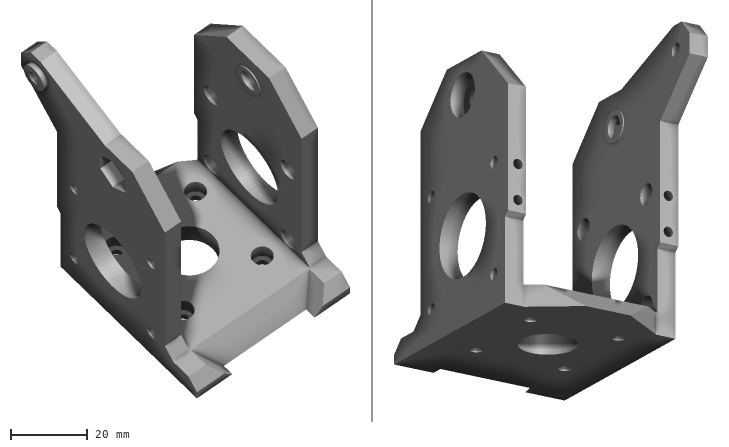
import cadquery as cq
import math


inner_gap = 40.9
plate_thickness = 5.6
plate_half_width = 21.0
plate_top = 73.45
corner_cut = 13.1
edge_pad = 1.4
pad_bottom = 25.2
inner_y = inner_gap / 2
outer_y = inner_y + plate_thickness
pad_x = plate_half_width + edge_pad

base_thickness = 6.15
base_setback = 0.3
base_half_width = inner_y - base_setback
gusset = 3.4
base_flat_end = plate_half_width + gusset
base_end = base_flat_end + base_thickness
nose_x = 29.9
nose_half_width = 6.8
foot_end = 33.95
foot_bevel = 3.4

arm_end = 37.0
arm_top = 83.0
arm_low_corner = 72.95
arm_high_corner = 78.7
arm_root_z = 58.8
arm_top_start = 33.0
arm_top_end = 29.05
arm_root_x = 3.15
pivot_x = -30.1
pivot_z = 76.0
pivot_boss_diameter = 8.0
pivot_boss_height = 1.5
pivot_hole_diameter = 3.9

bolt_hole_diameter = 3.3
counterbore_diameter = 6.0
counterbore_floor = 2.0
plate_bore_diameter = 23.0
plate_bore_z = 25.1
plate_bolt_offset = 15.5
base_bore_diameter = 15.7
base_bolt_offset = 13.45

axle_z = 64.1
axle_hole_diameter = 6.0
axle_ring_diameter = 9.0
axle_ring_height = 0.3
nut_flats = 10.1
axle_recess_diameter = 12.0
axle_recess_depth = 4.0

edge_hole_diameter = 2.8
edge_hole_depth = 5.0
edge_hole_heights = (28.55, 38.5)
edge_hole_setback = 2.5
edge_hole_y = inner_y + edge_hole_setback


def rod(x, z, diameter, y_start, y_end):
    """Cylinder along Y between two Y positions."""
    plane = cq.Workplane("XZ", origin=(x, y_start, z))
    return plane.circle(diameter / 2).extrude(y_start - y_end)


def plate(head_points, y_start):
    """Side plate: the shared lower outline closed by the given head outline."""
    lower_points = [
        (-pad_x, pad_bottom),
        (-plate_half_width, pad_bottom - edge_pad),
        (-plate_half_width, 0),
        (base_flat_end, 0),
        (base_flat_end, base_thickness),
        (plate_half_width, base_thickness + gusset),
        (plate_half_width, plate_top - corner_cut),
        (plate_half_width - corner_cut, plate_top),
    ]
    plane = cq.Workplane("XZ", origin=(0, y_start, 0))
    return plane.polyline(lower_points + head_points).close().extrude(-plate_thickness)


def foot(side):
    """Foot under one plate: bevelled toe and an inner flank falling at 45 degrees."""
    profile = [
        (0, 0),
        (foot_end, 0),
        (foot_end, base_thickness - foot_bevel),
        (foot_end - foot_bevel, base_thickness),
        (0, base_thickness),
    ]
    along = cq.Workplane("XZ", origin=(0, -outer_y, 0)).polyline(profile).close().extrude(-2 * outer_y)
    section = [
        (side * outer_y, 0),
        (side * (base_half_width - base_thickness), 0),
        (side * base_half_width, base_thickness),
        (side * outer_y, base_thickness),
    ]
    across = cq.Workplane("YZ").polyline(section).close().extrude(foot_end)
    return along.intersect(across)


def base():
    """Base plate with a tapered nose at -X; both ends slope at 45 degrees."""
    plan = [
        (base_end, -base_half_width),
        (base_end, base_half_width),
        (-plate_half_width, base_half_width),
        (-nose_x, nose_half_width),
        (-nose_x, -nose_half_width),
        (-plate_half_width, -base_half_width),
    ]
    slab = cq.Workplane("XY").polyline(plan).close().extrude(base_thickness)
    side_profile = [
        (-nose_x, 0),
        (base_end, 0),
        (base_flat_end, base_thickness),
        (-nose_x + base_thickness, base_thickness),
    ]
    wedge = cq.Workplane("XZ", origin=(0, -outer_y, 0)).polyline(side_profile).close()
    slab = slab.intersect(wedge.extrude(-2 * outer_y))
    web = cq.Workplane("XY").rect(2 * plate_half_width, inner_gap).extrude(base_thickness)
    return slab.union(web)


plain_head = [
    (-pad_x + corner_cut, plate_top),
    (-pad_x, plate_top - corner_cut),
]
arm_head = [
    (-arm_root_x, plate_top),
    (-arm_top_end, arm_top),
    (-arm_top_start, arm_top),
    (-arm_end, arm_high_corner),
    (-arm_end, arm_low_corner),
    (-pad_x, arm_root_z),
]
result = base().union(plate(plain_head, inner_y)).union(plate(arm_head, -outer_y))
for side in (-1, 1):
    result = result.union(foot(side))

for side in (-1, 1):
    ring_face = side * (inner_y - axle_ring_height)
    result = result.union(rod(0, axle_z, axle_ring_diameter, side * outer_y, ring_face))
result = result.union(rod(pivot_x, pivot_z, pivot_boss_diameter, -inner_y, -outer_y - pivot_boss_height))
result = result.cut(rod(pivot_x, pivot_z, pivot_hole_diameter, 0, -2 * outer_y))

result = result.cut(rod(0, axle_z, axle_hole_diameter, -outer_y, outer_y))
nut_plane = cq.Workplane("XZ", origin=(0, -outer_y, axle_z)).transformed(rotate=(0, 0, 30))
nut_corners = nut_flats / math.cos(math.pi / 6)
result = result.cut(nut_plane.polygon(6, nut_corners).extrude(-axle_recess_depth))
result = result.cut(rod(0, axle_z, axle_recess_diameter, outer_y - axle_recess_depth, outer_y))

result = result.cut(rod(0, plate_bore_z, plate_bore_diameter, -outer_y, outer_y))
counterbore_y = outer_y - counterbore_floor
for x in (-plate_bolt_offset, plate_bolt_offset):
    for z in (plate_bore_z - plate_bolt_offset, plate_bore_z + plate_bolt_offset):
        result = result.cut(rod(x, z, bolt_hole_diameter, -outer_y, outer_y))
        result = result.cut(rod(x, z, counterbore_diameter, -counterbore_y, counterbore_y))

base_top = cq.Workplane("XY", origin=(0, 0, base_thickness))
result = result.cut(base_top.circle(base_bore_diameter / 2).extrude(-base_thickness))
base_bolts = base_top.rect(2 * base_bolt_offset, 2 * base_bolt_offset, forConstruction=True).vertices()
result = result.cut(base_bolts.circle(bolt_hole_diameter / 2).extrude(-base_thickness))
result = result.cut(base_bolts.circle(counterbore_diameter / 2).extrude(counterbore_floor - base_thickness))

for y in (-edge_hole_y, edge_hole_y):
    for z in edge_hole_heights:
        hole = cq.Workplane("YZ", origin=(-pad_x, y, z)).circle(edge_hole_diameter / 2).extrude(edge_hole_depth)
        result = result.cut(hole)